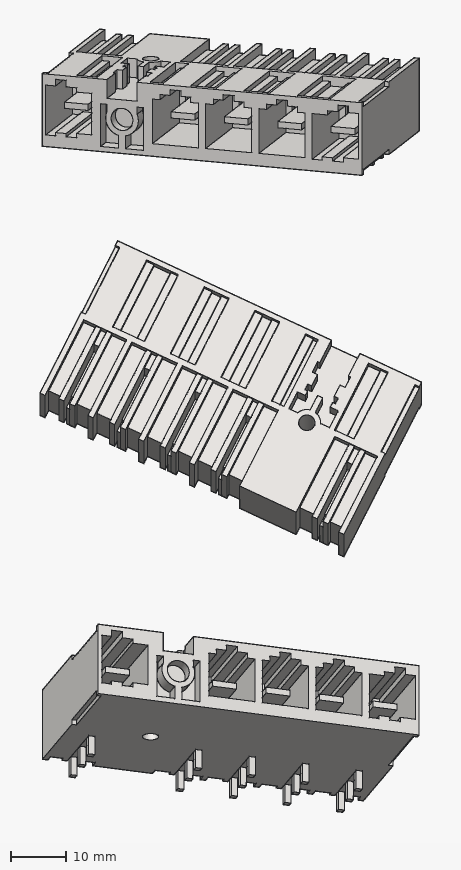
import cadquery as cq


length = 60.95
depth = 32.0
height = 13.6
cell_count = 6
pitch = length / cell_count

cell_centers = [(i - (cell_count - 1) / 2) * pitch for i in range(cell_count)]
flange_x = cell_centers[1]
end_cells = (cell_centers[0], cell_centers[-1])
middle_cells = cell_centers[2:5]
contact_cells = [end_cells[0], *middle_cells, end_cells[1]]

pocket_depth = 15.0
pocket_half = 4.4
peak_top = 12.75
end_shoulder_top = 11.5
step_top = 11.7
side_top = 10.7
middle_floor = 2.4
step_half = 2.9
peak_half = 1.05
end_floor_low = 2.2
end_floor_ridge = 2.8
end_floor_high = 3.0
end_peak_outer = 2.5
end_peak_inner = 0.5
end_shoulder = 1.5
throat_width = 6.4
throat_height = 4.2

bay_front = 16.1
bay_floor_end = 30.5
bay_floor_z = 11.95
wall = 1.05
rib = 1.05
rib_end = 31.35
rib_top = 13.15
flange_width = 11.35

recess_front = 1.0
recess_back = pocket_depth
ledge_depth = 0.9
channel_depth = 1.75
ledge_inner = 2.6
ledge_outer = 4.15
end_ledge_inner = 1.2
end_ledge_outer = 2.7
flange_column_half = 5.05
end_step = 0.85

screw_z = 6.4
screw_radius = 2.1
screw_bore_depth = 2.4
collar_radius = 3.1
collar_neck_half = 2.85
collar_web = 1.35
side_pocket_half = 4.1
side_pocket_bottom = 1.0
side_pocket_top = 8.95
side_pocket_depth = 2.9
key_floor_z = 10.05
peg_y = 16.0
peg_hole_radius = 1.45
peg_boss_radius = 2.5
peg_web = 1.05
peg_web_front = 10.5
key_stretches = [
    (0.0, 4.75, 2.85),
    (4.75, 6.95, 3.3),
    (6.95, 9.3, 2.25),
    (9.3, peg_web_front, 3.05),
    (peg_web_front, 11.45, 2.5),
    (11.45, recess_back, side_pocket_half),
]

blade_width = 4.5
blade_thickness = 1.15
blade_front = 4.25
blade_z = 6.8
plate_thickness = 1.15
plate_step_y = 28.35
plate_step_drop = blade_thickness
leg_width = 1.15
leg_length = 3.55
leg_pitch = pitch / 2
rear_leg_y = 29.75
leg_count = 3
plate_front = rear_leg_y - (leg_count - 1) * leg_pitch - leg_width / 2
plate_back = rear_leg_y + leg_width / 2


def block(x, y, z):
    """Box between the two limits given for each axis."""
    size = (x[1] - x[0], y[1] - y[0], z[1] - z[0])
    return cq.Workplane("XY").box(*size, centered=False).translate((x[0], y[0], z[0]))


def wide(center, width):
    """Limits along one axis of a feature of this width about its centre."""
    return (center - width / 2, center + width / 2)


def from_front(outline, x_center, run):
    """Prism that runs back from the mating face, from an outline in X and Z."""
    return cq.Workplane("XZ").polyline(outline).close().extrude(-run).translate((x_center, 0, 0))


def housing_blank():
    """Front block, rear bay floor, walls between bays, rib pairs and flange block."""
    full = (0, height)
    x_limits = wide(0, length)
    blank = block(x_limits, (0, bay_front), full)
    blank = blank.union(block(x_limits, (bay_front, bay_floor_end), (0, bay_floor_z)))
    end_wall_x = (length - wall) / 2
    between_cells = [x - pitch / 2 for x in contact_cells[2:]]
    for x in [-end_wall_x, *between_cells, end_wall_x]:
        blank = blank.union(block(wide(x, wall), (bay_front, depth), full))
    rib_offset = (plate_thickness + rib) / 2
    for x in contact_cells:
        for side in (-1, 1):
            blank = blank.union(block(wide(x + side * rib_offset, rib), (bay_front, rib_end), (0, rib_top)))
    return blank.union(block(wide(flange_x, flange_width), (bay_front, depth), full))


def middle_pocket(x):
    """Plug pocket with a roof stepped alike on both sides."""
    right = [
        (pocket_half, middle_floor),
        (pocket_half, side_top),
        (step_half, side_top),
        (step_half, step_top),
        (peak_half, step_top),
        (peak_half, peak_top),
    ]
    left = [(-px, pz) for px, pz in reversed(right)]
    return from_front(right + left, x, pocket_depth)


def end_pocket(x):
    """Plug pocket of an end cell: the roof peak lies on the outer side, the keyed floor is not mirrored."""
    inward = -1 if x > 0 else 1
    roof = [
        (-pocket_half, end_shoulder_top),
        (-end_peak_outer, end_shoulder_top),
        (-end_peak_outer, peak_top),
        (-end_peak_inner, peak_top),
        (-end_peak_inner, end_shoulder_top),
        (end_shoulder, end_shoulder_top),
        (end_shoulder, side_top),
        (pocket_half, side_top),
    ]
    roof = [(inward * px, pz) for px, pz in roof]
    floor = [
        (pocket_half, end_floor_high),
        (end_shoulder, end_floor_high),
        (end_shoulder, end_floor_low),
        (-end_peak_inner, end_floor_low),
        (-end_peak_inner, end_floor_ridge),
        (-end_peak_outer, end_floor_ridge),
        (-end_peak_outer, end_floor_low),
        (-pocket_half, end_floor_low),
    ]
    outline = roof + floor if inward > 0 else roof[::-1] + floor
    return from_front(outline, x, pocket_depth)


def throat(x):
    """Shallow recess around the contact blade, in the back of a pocket."""
    z_limits = wide(blade_z, throat_height)
    return block(wide(x, throat_width), (pocket_depth, bay_front), z_limits)


def roof_recess(x_left, left_ledge, right_ledge, x_right):
    """Roof recess with a deep channel between the two ledge edges and shallow ledges beside it."""
    y_limits = (recess_front, recess_back)
    ledges = block((x_left, x_right), y_limits, (height - ledge_depth, height))
    channel = block((left_ledge, right_ledge), y_limits, (height - channel_depth, height))
    return ledges.union(channel)


def roof_recesses():
    """One recess over each wall between cells, including the walls beside the flange."""
    first, second, third = middle_cells
    flange_left = flange_x - flange_column_half
    flange_right = flange_x + flange_column_half
    left_end, right_end = end_cells
    return [
        roof_recess(left_end + end_ledge_inner, left_end + end_ledge_outer, flange_left, flange_left),
        roof_recess(flange_right, flange_right, first - ledge_outer, first - ledge_inner),
        roof_recess(first + ledge_inner, first + ledge_outer, second - ledge_outer, second - ledge_inner),
        roof_recess(second + ledge_inner, second + ledge_outer, third - ledge_outer, third - ledge_inner),
        roof_recess(
            third + ledge_inner,
            third + ledge_outer,
            right_end - end_ledge_outer,
            right_end - end_ledge_inner,
        ),
    ]


def end_steps():
    """Rebates along the top and bottom edges of both end walls."""
    y_limits = (recess_front, recess_back)
    x_center = (length - end_step) / 2
    steps = []
    for x in (-x_center, x_center):
        for z_limits in ((0, ledge_depth), (height - ledge_depth, height)):
            steps.append(block(wide(x, end_step), y_limits, z_limits))
    return steps


def screw_side_pockets():
    """Pocket in the mating face around the screw collar, its neck and its web."""
    run = (0, side_pocket_depth)
    pocket = block(wide(flange_x, 2 * side_pocket_half), run, (side_pocket_bottom, side_pocket_top))
    collar = cq.Workplane("XZ").center(flange_x, screw_z).circle(collar_radius).extrude(-side_pocket_depth)
    neck = block(wide(flange_x, 2 * collar_neck_half), run, (screw_z, side_pocket_top))
    web = block(wide(flange_x, collar_web), run, (side_pocket_bottom, screw_z))
    return pocket.cut(collar).cut(neck).cut(web)


def screw_bore():
    """Blind bore for the flange screw."""
    return cq.Workplane("XZ").center(flange_x, screw_z).circle(screw_radius).extrude(-screw_bore_depth)


def key_slot():
    """Keyed slot in the top of the flange, leaving the peg boss and its web standing."""
    z_limits = (key_floor_z, height)
    slot = cq.Workplane("XY")
    for front, back, half in key_stretches:
        slot = slot.union(block(wide(flange_x, 2 * half), (front, back), z_limits))
    boss = cq.Workplane("XY").center(flange_x, peg_y).circle(peg_boss_radius).extrude(height)
    web = block(wide(flange_x, peg_web), (peg_web_front, peg_y), z_limits)
    return slot.cut(boss).cut(web)


def peg_hole():
    """Vertical through hole behind the keyed slot."""
    return cq.Workplane("XY").center(flange_x, peg_y).circle(peg_hole_radius).extrude(height)


def contact_slot(x):
    """Slot between a rib pair for the contact plate, open to the top, the back and the board face."""
    return block(wide(x, plate_thickness), (plate_front, depth), (0, height))


def make_contact(x):
    """Flat blade joined to an upright plate that ends in three board legs."""
    blade_bottom, blade_top = wide(blade_z, blade_thickness)
    blade = block(wide(x, blade_width), (blade_front, plate_front), (blade_bottom, blade_top))
    x_limits = wide(x, plate_thickness)
    contact = blade.union(block(x_limits, (plate_front, plate_step_y), (0, blade_top)))
    contact = contact.union(block(x_limits, (plate_step_y, plate_back), (0, blade_top - plate_step_drop)))
    for i in range(leg_count):
        leg_y = rear_leg_y - i * leg_pitch
        contact = contact.union(block(x_limits, wide(leg_y, leg_width), (-leg_length, 0)))
    return contact


def make_housing(contacts):
    """Moulded housing with every pocket, and openings that fit the contacts."""
    cuts = [middle_pocket(x) for x in middle_cells]
    cuts += [end_pocket(x) for x in end_cells]
    cuts += [throat(x) for x in contact_cells]
    cuts += [contact_slot(x) for x in contact_cells]
    cuts += roof_recesses() + end_steps()
    cuts += [screw_side_pockets(), screw_bore(), key_slot(), peg_hole()]
    body = housing_blank()
    for cutter in cuts + contacts:
        body = body.cut(cutter)
    return body


contacts = [make_contact(x) for x in contact_cells]
housing = make_housing(contacts)

result = cq.Compound.makeCompound([housing.val(), *[contact.val() for contact in contacts]])